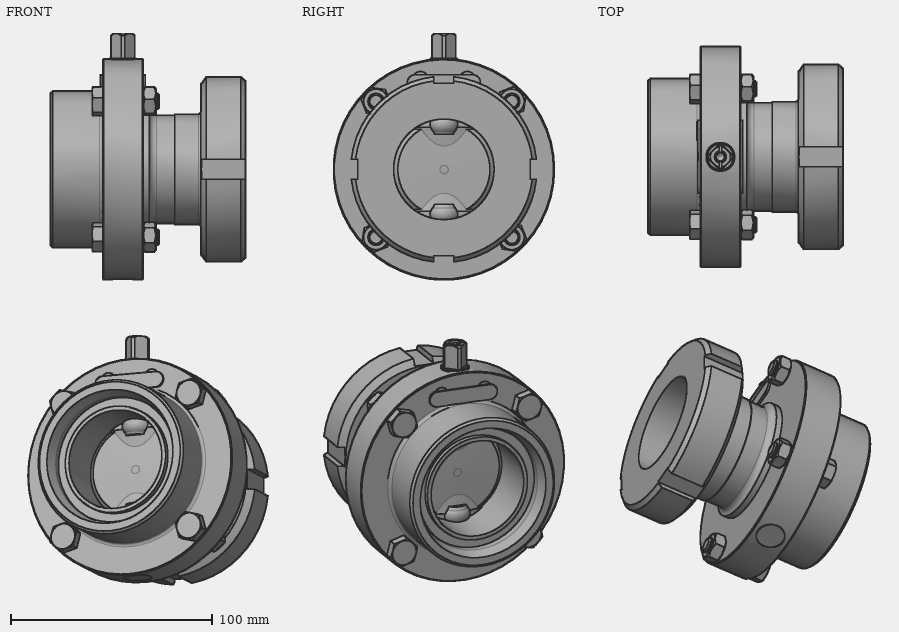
import cadquery as cq
import math


flange_diameter = 110.0
flange_radius = flange_diameter / 2
flange_half_width = 10.0
flange_chamfer = 0.5

collar_end_x = -36.0
collar_radius = 39.1
collar_chamfer = 1.2
collar_root_fillet = 1.6
recess_mouth_radius = 33.9
recess_radius = 63.8 / 2
recess_taper_length = 6.4
recess_depth = 10.3
pipe_radius = 54.0 / 2
pipe_lip_length = 3.1
bore_radius = 25.0

boss_radius = 61.0 / 2
boss_end_x = 13.2
sleeve_radius = 55.0 / 2
sleeve_start_x = 25.7
sleeve_fillet = 1.5

nut_start_x = 38.8
nut_end_x = 61.0
nut_radius = 46.3
nut_back_chamfer_length = 2.6
nut_back_chamfer_depth = 3.8
nut_front_chamfer_length = 2.3
nut_front_chamfer_depth = 2.1
nut_slot_width = 10.0
nut_slot_count = 4
nut_slot_depth = 3.4
nut_gap_inner_radius = boss_radius
nut_gap_outer_radius = 62.0 / 2
nut_gap_depth = 3.7

bolt_count = 4
bolt_circle_radius = 47.8
hex_across_flats = 13.0
head_height = 5.3
head_chamfer_length = 0.4
head_chamfer_depth = 1.1
hex_nut_height = 6.5
hex_nut_chamfer_length = 1.0
hex_nut_chamfer_depth = 1.3
hex_nut_turn = 6.5
bolt_radius = 8.0 / 2
bolt_end_x = 18.1
bolt_end_chamfer = 0.9

pad_length = 36.4
pad_width = 7.8
pad_height = 1.1
pad_z = 43.1
pin_recess_radius = 7.2 / 2
pin_recess_depth = 0.1
pin_y = 11.6
pin_z = 45.1

stem_height = 12.5
stem_top_z = flange_radius + stem_height
stem_radius = 6.0
stem_across_flats = 9.7
stem_turn = 45
stem_chamfer = 1.0
stem_hole_radius = 2.1
stem_hole_depth = 6.1
stem_countersink = 0.9
stem_slot_width = 1.2
stem_slot_depth = 0.6
stem_seat_radius = 7.1
stem_seat_depth = 0.6
stem_cone_height = 0.9
stem_cone_taper = 0.6

overlap = 0.2
disc_half_thickness = 2.5
disc_face_radius = 22.9
disc_rim_half_width = 0.6
disc_centre_radius = 2.1
disc_centre_rise = 0.5
hub_neck_radius = 5.6
hub_neck_z = 17.4
hub_shoulder_radius = 6.4
hub_shoulder_z = 19.0
hub_bulge_radius = 7.6
hub_bulge_z = 22.0
hub_end_radius = 6.6
hub_end_z = bore_radius + overlap
skirt_start_z = 11.6
skirt_end_z = 20.8
skirt_start_half_depth = 2.7
skirt_start_half_width = 11.0
skirt_end_half_depth = 3.9
skirt_end_half_width = 15.1
skirt_shoulder_half_depth = 3.5


def turned(outline):
    """Revolve a closed (x, radius) sketch about the pipe axis."""
    return outline.close().revolve(360, (0, 0, 0), (1, 0, 0))


def x_rod(radius, start_x, end_x, y=0, z=0):
    return cq.Workplane("YZ", origin=(start_x, y, z)).circle(radius).extrude(end_x - start_x)


def z_rod(radius, start_z, end_z):
    return cq.Workplane("XY", origin=(0, 0, start_z)).circle(radius).extrude(end_z - start_z)


def make_body():
    collar_root_radius = collar_radius + collar_root_fillet
    collar_root_x = -flange_half_width - collar_root_fillet
    boss_fillet = boss_radius - pipe_radius
    flared_radius = sleeve_radius + sleeve_fillet
    root_arc_offset = collar_root_fillet * math.sqrt(0.5)
    boss_arc_offset = boss_fillet * math.sqrt(0.5)
    sleeve_arc_offset = sleeve_fillet * math.sqrt(0.5)
    outline = (
        cq.Workplane("XY")
        .moveTo(collar_end_x, 0)
        .lineTo(collar_end_x, collar_radius - collar_chamfer)
        .lineTo(collar_end_x + collar_chamfer, collar_radius)
        .lineTo(collar_root_x, collar_radius)
        .threePointArc(
            (collar_root_x + root_arc_offset, collar_root_radius - root_arc_offset),
            (-flange_half_width, collar_root_radius),
        )
        .lineTo(-flange_half_width, flange_radius - flange_chamfer)
        .lineTo(flange_chamfer - flange_half_width, flange_radius)
        .lineTo(flange_half_width - flange_chamfer, flange_radius)
        .lineTo(flange_half_width, flange_radius - flange_chamfer)
        .lineTo(flange_half_width, boss_radius)
        .lineTo(boss_end_x, boss_radius)
        .threePointArc(
            (boss_end_x + boss_fillet - boss_arc_offset, boss_radius - boss_arc_offset),
            (boss_end_x + boss_fillet, pipe_radius),
        )
        .lineTo(sleeve_start_x, pipe_radius)
        .lineTo(sleeve_start_x, sleeve_radius)
        .lineTo(nut_start_x - sleeve_fillet, sleeve_radius)
        .threePointArc(
            (nut_start_x - sleeve_fillet + sleeve_arc_offset, flared_radius - sleeve_arc_offset),
            (nut_start_x, flared_radius),
        )
        .lineTo(nut_end_x, flared_radius)
        .lineTo(nut_end_x, 0)
    )
    return turned(outline)


def make_union_nut():
    back_radius = nut_radius - nut_back_chamfer_depth
    front_radius = nut_radius - nut_front_chamfer_depth
    nut = turned(
        cq.Workplane("XY")
        .moveTo(nut_start_x, 0)
        .lineTo(nut_start_x, back_radius)
        .lineTo(nut_start_x + nut_back_chamfer_length, nut_radius)
        .lineTo(nut_end_x - nut_front_chamfer_length, nut_radius)
        .lineTo(nut_end_x, front_radius)
        .lineTo(nut_end_x, 0)
    )
    slot_floor = nut_radius - nut_slot_depth
    nut_length = nut_end_x - nut_start_x
    slot = cq.Workplane("XY").box(nut_length, nut_slot_width, nut_radius, centered=(False, True, False))
    slot = slot.translate((nut_start_x, 0, slot_floor))
    for index in range(nut_slot_count):
        nut = nut.cut(slot.rotate((0, 0, 0), (1, 0, 0), index * 360 / nut_slot_count))
    gap_end_x = nut_start_x + nut_gap_depth
    gap = x_rod(nut_gap_outer_radius, nut_start_x, gap_end_x)
    gap = gap.cut(x_rod(nut_gap_inner_radius, nut_start_x, gap_end_x))
    return nut.cut(gap)


def cut_bore(body):
    recess_end_x = collar_end_x + recess_depth
    lip_x = recess_end_x - pipe_lip_length
    cavity = turned(
        cq.Workplane("XY")
        .moveTo(collar_end_x, 0)
        .lineTo(collar_end_x, recess_mouth_radius)
        .lineTo(collar_end_x + recess_taper_length, recess_radius)
        .lineTo(recess_end_x, recess_radius)
        .lineTo(recess_end_x, pipe_radius)
        .lineTo(lip_x, pipe_radius)
        .lineTo(lip_x, bore_radius)
        .lineTo(nut_end_x, bore_radius)
        .lineTo(nut_end_x, 0)
    )
    return body.cut(cavity)


def make_hex(start_x, height, chamfered_ends, chamfer_length, chamfer_depth):
    """Hexagon along X with one flat facing +Z, its chosen ends turned to a cone at the corners."""
    corner_radius = hex_across_flats / math.sqrt(3)
    hexagon = (
        cq.Workplane("YZ", origin=(start_x, 0, 0))
        .polygon(6, 2 * corner_radius)
        .extrude(height)
    )
    envelope = x_rod(corner_radius, start_x, start_x + height)
    envelope = envelope.faces(chamfered_ends).chamfer(chamfer_length, chamfer_depth)
    return hexagon.intersect(envelope)


def make_bolt():
    head_x = -flange_half_width - head_height
    head = make_hex(head_x, head_height, "<X", head_chamfer_length, head_chamfer_depth)
    nut = make_hex(flange_half_width, hex_nut_height, "|X", hex_nut_chamfer_length, hex_nut_chamfer_depth)
    nut = nut.rotate((0, 0, 0), (1, 0, 0), hex_nut_turn)
    shank = x_rod(bolt_radius, flange_half_width, bolt_end_x).faces(">X").chamfer(bolt_end_chamfer)
    return head.union(nut).union(shank).translate((0, 0, bolt_circle_radius))


def add_bolts(body):
    bolt = make_bolt()
    for index in range(bolt_count):
        angle = (index + 0.5) * 360 / bolt_count
        body = body.union(bolt.rotate((0, 0, 0), (1, 0, 0), angle))
    return body


def add_pads(body):
    pad_end_x = flange_half_width + pad_height
    pad = (
        cq.Workplane("YZ", origin=(-pad_end_x, 0, pad_z))
        .slot2D(pad_length, pad_width)
        .extrude(2 * pad_end_x)
    )
    floor_x = flange_half_width - pin_recess_depth
    for y in (-pin_y, pin_y):
        body = body.cut(x_rod(pin_recess_radius, -flange_half_width, -floor_x, y, pin_z))
        body = body.cut(x_rod(pin_recess_radius, floor_x, flange_half_width, y, pin_z))
    return body.union(pad)


def make_disc():
    centre_x = disc_half_thickness + disc_centre_rise
    rim_radius = bore_radius + overlap
    return turned(
        cq.Workplane("XY")
        .moveTo(-centre_x, 0)
        .lineTo(-centre_x, disc_centre_radius)
        .lineTo(-disc_half_thickness, disc_face_radius)
        .lineTo(-disc_rim_half_width, bore_radius)
        .lineTo(-disc_rim_half_width, rim_radius)
        .lineTo(disc_rim_half_width, rim_radius)
        .lineTo(disc_rim_half_width, bore_radius)
        .lineTo(disc_half_thickness, disc_face_radius)
        .lineTo(centre_x, disc_centre_radius)
        .lineTo(centre_x, 0)
    )


def make_hub():
    """Round hub at the +Z edge of the disc with the oval skirt that blends it into the faces."""
    hub = (
        cq.Workplane("XZ")
        .moveTo(0, hub_neck_z)
        .lineTo(hub_neck_radius, hub_neck_z)
        .lineTo(hub_shoulder_radius, hub_shoulder_z)
        .threePointArc((hub_bulge_radius, hub_bulge_z), (hub_end_radius, hub_end_z))
        .lineTo(0, hub_end_z)
        .close()
        .revolve(360, (0, 0, 0), (0, 1, 0))
    )
    skirt = (
        cq.Workplane("XY", origin=(0, 0, skirt_start_z))
        .ellipse(skirt_start_half_depth, skirt_start_half_width)
        .workplane(offset=skirt_end_z - skirt_start_z)
        .ellipse(skirt_end_half_depth, skirt_end_half_width)
        .loft()
    )
    shoulder = (
        cq.Workplane("XY", origin=(0, 0, skirt_end_z))
        .ellipse(skirt_shoulder_half_depth, skirt_end_half_width)
        .extrude(hub_end_z - skirt_end_z)
    )
    envelope = x_rod(hub_end_z, -flange_half_width, flange_half_width)
    return hub.union(skirt).union(shoulder).intersect(envelope)


def make_stem_hole():
    """Countersunk blind hole with a conical bottom, as a solid to cut from the stem top."""
    hole_floor_z = stem_top_z - stem_hole_depth
    return (
        cq.Workplane("XZ")
        .moveTo(0, stem_top_z)
        .lineTo(stem_hole_radius + stem_countersink, stem_top_z)
        .lineTo(stem_hole_radius, stem_top_z - stem_countersink)
        .lineTo(stem_hole_radius, hole_floor_z)
        .lineTo(0, hole_floor_z - stem_hole_radius * math.tan(math.pi / 6))
        .close()
        .revolve(360, (0, 0, 0), (0, 1, 0))
    )


def add_stem(body):
    seat_z = flange_radius - stem_seat_depth
    body = body.cut(z_rod(stem_seat_radius, seat_z, flange_radius))
    body = body.cut(z_rod(stem_seat_radius, -flange_radius, -seat_z))
    cone = (
        cq.Workplane("XY", origin=(0, 0, seat_z))
        .circle(stem_seat_radius)
        .workplane(offset=stem_cone_height)
        .circle(stem_seat_radius - stem_cone_taper)
        .loft()
    )
    square = (
        cq.Workplane("XY", origin=(0, 0, seat_z))
        .rect(stem_across_flats, stem_across_flats)
        .extrude(stem_top_z - seat_z)
        .rotate((0, 0, 0), (0, 0, 1), stem_turn)
    )
    round_stem = z_rod(stem_radius, seat_z, stem_top_z).faces(">Z").chamfer(stem_chamfer)
    stem = square.intersect(round_stem).cut(make_stem_hole())
    slot = cq.Workplane("XY").box(stem_slot_width, 2 * stem_radius, 2 * stem_slot_depth)
    stem = stem.cut(slot.translate((0, 0, stem_top_z)))
    return body.union(cone).union(stem)


result = make_body().union(make_union_nut())
result = cut_bore(result)
result = add_pads(result)
result = add_bolts(result)
result = result.union(make_disc())
hub = make_hub()
result = result.union(hub).union(hub.mirror("XY"))
result = add_stem(result)